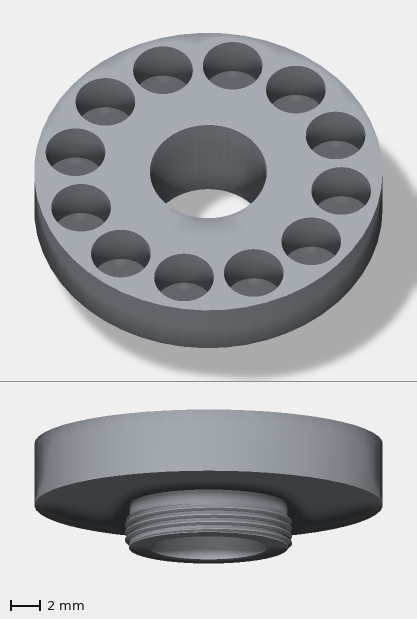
import math
import cadquery as cq

disc_diameter = 24.0
disc_height = 4.3
bore_diameter = 8.05
pocket_diameter = 4.11
pocket_count = 12
pocket_circle_radius = 9.3
pocket_floor = 1.0
pocket_depth = disc_height - pocket_floor

neck_diameter = 10.9
neck_length = 3.0
thread_relief = 1.0
thread_length = neck_length - thread_relief

thread_diameter = 11.5
core_diameter = 10.96
thread_pitch = 0.5
flank_angle = 30.0
crest_width = thread_pitch / 8
thread_embed = 0.05
start_angle = -90.0
start_z = -neck_length + 0.09
fade_turns = 0.25
full_turns = 4.25
points_per_turn = 24

crest_radius = thread_diameter / 2
root_radius = core_diameter / 2 - thread_embed
ridge_height = crest_radius - root_radius
start_scale = thread_embed / ridge_height
root_width = crest_width + 2 * ridge_height * math.tan(math.radians(flank_angle))

ridge_corners = [
    (0, -root_width / 2),
    (ridge_height, -crest_width / 2),
    (ridge_height, crest_width / 2),
    (0, root_width / 2),
]


def ridge_scale(turn):
    """Relative ridge size after the given number of turns."""
    return min(1.0, start_scale + (1 - start_scale) * turn / fade_turns)


def ridge_point(corner, turn):
    """Position of one cross-section corner after the given number of turns."""
    height, offset = corner
    angle = math.radians(start_angle) + 2 * math.pi * turn
    scale = ridge_scale(turn)
    radius = root_radius + height * scale
    z = start_z + thread_pitch * turn + offset * scale
    return cq.Vector(radius * math.cos(angle), radius * math.sin(angle), z)


def ridge_section(first_turn, last_turn):
    """Solid stretch of the thread ridge between two turn counts."""
    steps = math.ceil((last_turn - first_turn) * points_per_turn)
    turns = [first_turn + (last_turn - first_turn) * i / steps for i in range(steps + 1)]
    edges = [cq.Edge.makeSpline([ridge_point(c, t) for t in turns]) for c in ridge_corners]
    faces = [cq.Face.makeRuledSurface(edges[i - 1], edges[i]) for i in range(len(edges))]
    for turn in (first_turn, last_turn):
        outline = [ridge_point(corner, turn) for corner in ridge_corners]
        faces.append(cq.Face.makeFromWires(cq.Wire.makePolygon(outline, close=True)))
    return cq.Workplane(cq.Solid.makeSolid(cq.Shell.makeShell(faces)))


def make_thread():
    """Faded start and full run of the ridge, cut flat at the relief and at the neck end."""
    thread_zone = (
        cq.Workplane(origin=(0, 0, -neck_length))
        .circle(thread_diameter)
        .extrude(thread_length)
    )
    faded_start = ridge_section(0, fade_turns).intersect(thread_zone)
    full_run = ridge_section(fade_turns, fade_turns + full_turns).intersect(thread_zone)
    return faded_start, full_run


def make_body():
    """Disc, plain neck and the slightly wider thread core below it."""
    disc = cq.Workplane().circle(disc_diameter / 2).extrude(disc_height)
    neck = disc.faces("<Z").workplane().circle(neck_diameter / 2).extrude(thread_relief)
    return neck.faces("<Z").workplane().circle(core_diameter / 2).extrude(thread_length)


def make_pockets():
    """Ring of round pockets open at the top of the disc."""
    return (
        cq.Workplane(origin=(0, 0, disc_height))
        .polarArray(pocket_circle_radius, 0, 360, pocket_count)
        .circle(pocket_diameter / 2)
        .extrude(-pocket_depth)
    )


def make_bore():
    """Through bore along the axis."""
    return (
        cq.Workplane(origin=(0, 0, -neck_length))
        .circle(bore_diameter / 2)
        .extrude(neck_length + disc_height)
    )


thread_start, thread_run = make_thread()
result = make_body().union(thread_run).union(thread_start)
result = result.cut(make_pockets()).cut(make_bore())
result = cq.Workplane(result.solids().val())